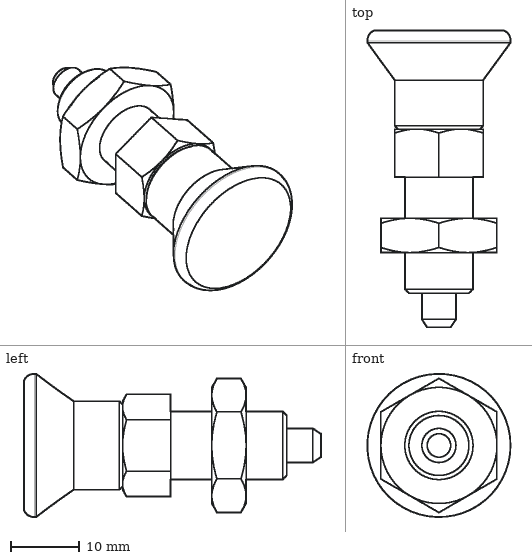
import cadquery as cq
import math

length = 43.5

pin_diameter = 5.0
pin_tip_diameter = 3.45
pin_tip_length = 1.17

body_diameter = 10.0
body_start = 5.0
body_chamfer = 0.6

nut_across_flats = 17.0
nut_start = 10.95
nut_thickness = 5.05
hex_across_flats = 13.0
hex_start = 22.0
hex_end = 29.05
hex_chamfer_angle = math.radians(30)

sleeve_diameter = 13.0
sleeve_chamfer = 0.5
cone_start = 36.25
knob_diameter = 21.0
rim_start = 41.7
rim_end = 42.0
knob_face_diameter = 19.0


def turned_core():
    """Pin, guide body and knob revolved about the Y axis."""
    pin_radius = pin_diameter / 2
    body_radius = body_diameter / 2
    sleeve_radius = sleeve_diameter / 2
    knob_radius = knob_diameter / 2
    face_radius = knob_face_diameter / 2
    profile = (
        cq.Workplane("XY")
        .lineTo(pin_tip_diameter / 2, 0)
        .lineTo(pin_radius, pin_tip_length)
        .lineTo(pin_radius, body_start)
        .lineTo(body_radius - body_chamfer, body_start)
        .lineTo(body_radius, body_start + body_chamfer)
        .lineTo(body_radius, hex_end)
        .lineTo(sleeve_radius - sleeve_chamfer, hex_end)
        .lineTo(sleeve_radius, hex_end + sleeve_chamfer)
        .lineTo(sleeve_radius, cone_start)
        .lineTo(knob_radius, rim_start)
        .lineTo(knob_radius, rim_end)
        .tangentArcPoint((face_radius, length), relative=False)
        .lineTo(0, length)
        .close()
    )
    return profile.revolve(360, (0, 0, 0), (0, 1, 0))


def chamfered_hexagon(across_flats, start, thickness, chamfer_start):
    """Hexagon with corners on +Z and -Z, its corners turned off at the far end or at both ends."""
    flat_radius = across_flats / 2
    corner_radius = flat_radius / math.cos(math.pi / 6)
    chamfer_length = (corner_radius - flat_radius) * math.tan(hex_chamfer_angle)
    end = start + thickness

    corners = [
        (corner_radius * math.sin(i * math.pi / 3), corner_radius * math.cos(i * math.pi / 3))
        for i in range(6)
    ]
    prism = cq.Workplane("XZ", origin=(0, start, 0)).polyline(corners).close().extrude(-thickness)

    envelope = cq.Workplane("XY").moveTo(0, start)
    if chamfer_start:
        envelope = envelope.lineTo(flat_radius, start).lineTo(corner_radius, start + chamfer_length)
    else:
        envelope = envelope.lineTo(corner_radius, start)
    envelope = (
        envelope.lineTo(corner_radius, end - chamfer_length)
        .lineTo(flat_radius, end)
        .lineTo(0, end)
        .close()
        .revolve(360, (0, 0, 0), (0, 1, 0))
    )
    return prism.intersect(envelope)


lock_nut = chamfered_hexagon(nut_across_flats, nut_start, nut_thickness, chamfer_start=True)
body_hexagon = chamfered_hexagon(hex_across_flats, hex_start, hex_end - hex_start, chamfer_start=False)

result = turned_core().union(lock_nut).union(body_hexagon)